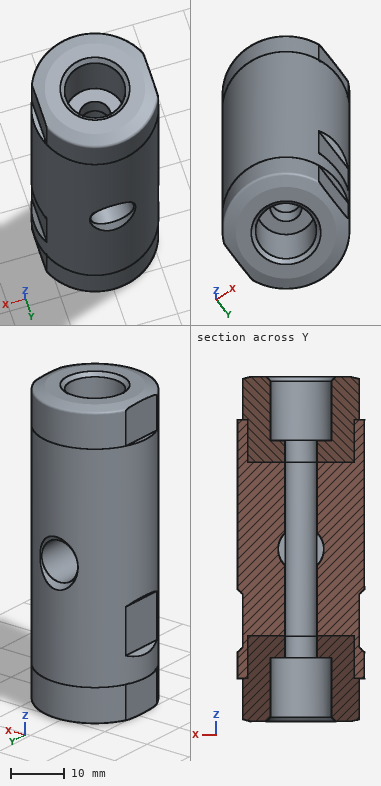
import cadquery as cq
import math

total_length = 65.0
outer_diameter = 24.0
outer_radius = outer_diameter / 2
cap_length = 8.1
tube_length = total_length - 2 * cap_length

width_across_flats = 22.0
flat_offset = width_across_flats / 2
flat_depth = outer_radius - flat_offset
tube_flat_bottom = 14.0
tube_flat_top = 24.0

end_face_diameter = 18.92
end_cone_angle = 15.0
end_cone_drop = (outer_radius - end_face_diameter / 2) * math.tan(math.radians(end_cone_angle))
end_edge_radius = 0.5

end_port_diameter = 11.45
end_port_mouth_diameter = 13.1
end_port_chamfer = (end_port_mouth_diameter - end_port_diameter) / 2
end_port_depth = 12.0
passage_diameter = 6.0

stem_diameter = 20.0
stem_length = 8.0

side_port_diameter = 8.57
side_port_mouth_diameter = 10.8
side_port_chamfer = (side_port_mouth_diameter - side_port_diameter) / 2


def make_top_cap():
    """Head with a coned outer end and two wrench flats, on a stem; the stepped port runs through both."""
    cap_base = total_length - cap_length
    cap_profile = (
        cq.Workplane("XZ")
        .moveTo(0, cap_base)
        .lineTo(outer_radius, cap_base)
        .lineTo(outer_radius, total_length - end_cone_drop)
        .lineTo(end_face_diameter / 2, total_length)
        .lineTo(0, total_length)
        .close()
    )
    cap = cap_profile.revolve(360, (0, 0, 0), (0, 1, 0))
    cone_rim = cq.selectors.RadiusNthSelector(-1)
    cap = cap.faces("%CONE").edges(cone_rim).fillet(end_edge_radius)

    flats_envelope = (
        cq.Workplane("XY")
        .workplane(offset=cap_base)
        .rect(width_across_flats, outer_diameter)
        .extrude(cap_length)
    )
    cap = cap.intersect(flats_envelope)

    stem = cq.Workplane("XY").workplane(offset=cap_base).circle(stem_diameter / 2).extrude(-stem_length)
    cap = cap.union(stem)

    cap = (
        cap.faces(">Z")
        .workplane(origin=(0, 0, 0))
        .cboreHole(passage_diameter, end_port_diameter, end_port_depth)
    )
    port_edge = cq.selectors.RadiusNthSelector(0)
    return cap.faces(">Z").edges(port_edge).chamfer(end_port_chamfer)


def make_tube_flat_cutter(side):
    """Notch down to the flat, with 45 degree end walls; side is -1 for -X and +1 for +X."""
    return (
        cq.Workplane("XZ")
        .moveTo(side * flat_offset, tube_flat_bottom)
        .lineTo(side * outer_radius, tube_flat_bottom - flat_depth)
        .lineTo(side * outer_radius, tube_flat_top + flat_depth)
        .lineTo(side * flat_offset, tube_flat_top)
        .close()
        .extrude(outer_radius, both=True)
    )


def make_side_port_cutter():
    """Chamfered round port running from the +Y surface in to the axis."""
    return (
        cq.Workplane("XY")
        .lineTo(side_port_diameter / 2, 0)
        .lineTo(side_port_diameter / 2, outer_radius - side_port_chamfer)
        .lineTo(side_port_mouth_diameter / 2, outer_radius)
        .lineTo(0, outer_radius)
        .close()
        .revolve(360, (0, 0, 0), (0, 1, 0))
        .translate((0, 0, total_length / 2))
    )


def make_tube():
    """Long middle body with the passage, stem recesses, side port and wrench flats."""
    tube = cq.Workplane("XY").workplane(offset=cap_length).circle(outer_radius).extrude(tube_length)
    for end_face in ("<Z", ">Z"):
        tube = (
            tube.faces(end_face)
            .workplane(origin=(0, 0, 0))
            .cboreHole(passage_diameter, stem_diameter, stem_length)
        )
    for side in (-1, 1):
        tube = tube.cut(make_tube_flat_cutter(side))
    return tube.cut(make_side_port_cutter())


tube = make_tube()
top_cap = make_top_cap()
caps = [top_cap, top_cap.mirror("XY", (0, 0, total_length / 2))]

result = cq.Compound.makeCompound([tube.val(), *[cap.val() for cap in caps]])